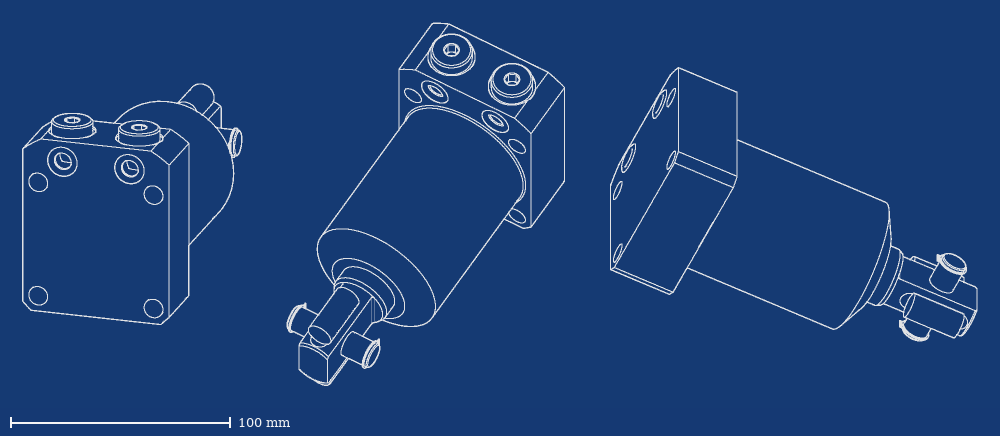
import cadquery as cq
import math

TOTAL_LENGTH = 166
SIDES = (-1, 1)

BLOCK_WIDTH = 70.0
BLOCK_DEPTH = 29.9
BLOCK_TOP = 48.8
TOP_CORNER_RADIUS = 55.5
BOTTOM_CHAMFER = 4.0
BOLT_SPACING = 55.1
BOLT_HOLE_DIAMETER = 9.0

PORT_SPACING = 32.0
PORT_HEIGHT = 38.8
PORT_DIAMETER = 8.0
RING_OUTER_DIAMETER = 14.1
RING_THICKNESS = 3.0
RING_PROTRUSION = 0.8
RING_RECESS_DEPTH = RING_THICKNESS - RING_PROTRUSION

PLUG_TOP = 54.0
PLUG_BOTTOM = 35.9
PLUG_HEAD_DIAMETER = 19.0
PLUG_CHAMFER = 0.8
PLUG_SHANK_DIAMETER = 14.3
SOCKET_ACROSS_FLATS = 6.0
SOCKET_DEPTH = 6.0
SOCKET_TIP_DEPTH = 1.7
SOCKET_MOUTH_DIAMETER = 7.1
SOCKET_MOUTH_DEPTH = 0.3
COUNTERBORE_DIAMETER = 21.5
COUNTERBORE_DEPTH = 1.0

BARREL_RADIUS = 31.4
BARREL_FOOT = 0.8
BARREL_SHOULDER = 108.9
BARREL_END = 115.9
BARREL_END_RADIUS = 19.3

NECK_RADIUS = 14.0
NECK_END = 125.0
NECK_CHAMFER_LENGTH = 2.0
ROD_RADIUS = 13.0
ROD_END = TOTAL_LENGTH - RING_PROTRUSION
ROD_END_CHAMFER = 1.0
BLADE_WIDTH = 15.1
BLADE_FILLET = 1.0

PIN_Y = 147.0
PIN_RADIUS = 6.0
PIN_LENGTH = 42.8
PIN_CHAMFER = 0.5
CLIP_SPACING = 39.0
CLIP_THICKNESS = 0.5
CLIP_RADIUS = 6.8
EAR_REACH = 8.0
EAR_SPAN = 5.0
EAR_GAP = 0.5
EAR_HOLE_DIAMETER = 0.8
EAR_HOLE_REACH = 7.1
EAR_HOLE_SPACING = 2.7

ROLLER_Y = 146.9
ROLLER_Z = 16.1
ROLLER_RADIUS = 6.0
ROLLER_LENGTH = 25.0
GROOVE_RADIUS = 5.6
GROOVE_LENGTH = 35.4


def cylinder_along_y(radius, start, length, x, z):
    return cq.Workplane("XZ", origin=(x, start, z)).circle(radius).extrude(-length)


def turned(profile):
    """Solid turned about the Y axis from (radius, y) points that start and end on the axis."""
    return cq.Workplane("XY").polyline(profile).close().revolve(360, (0, 0, 0), (0, 1, 0))


def make_block():
    half_width = BLOCK_WIDTH / 2
    bottom = -half_width
    side_top = math.sqrt(TOP_CORNER_RADIUS**2 - half_width**2)
    half_flat = math.sqrt(TOP_CORNER_RADIUS**2 - BLOCK_TOP**2)
    outline = (
        cq.Workplane("XZ")
        .moveTo(-half_width, bottom + BOTTOM_CHAMFER)
        .lineTo(-half_width, side_top)
        .radiusArc((-half_flat, BLOCK_TOP), TOP_CORNER_RADIUS)
        .lineTo(half_flat, BLOCK_TOP)
        .radiusArc((half_width, side_top), TOP_CORNER_RADIUS)
        .lineTo(half_width, bottom + BOTTOM_CHAMFER)
        .lineTo(half_width - BOTTOM_CHAMFER, bottom)
        .lineTo(-half_width + BOTTOM_CHAMFER, bottom)
        .close()
    )
    block = outline.extrude(-BLOCK_DEPTH)
    bolt_holes = (
        cq.Workplane("XZ")
        .rect(BOLT_SPACING, BOLT_SPACING, forConstruction=True)
        .vertices()
        .circle(BOLT_HOLE_DIAMETER / 2)
        .extrude(-BLOCK_DEPTH)
    )
    return block.cut(bolt_holes)


def make_port(x):
    """Space for one oil port, its two ring recesses, and the plug with its counterbore."""
    port = cylinder_along_y(PORT_DIAMETER / 2, 0, BLOCK_DEPTH, x, PORT_HEIGHT)
    for start in (0, BLOCK_DEPTH - RING_RECESS_DEPTH):
        recess = cylinder_along_y(RING_OUTER_DIAMETER / 2, start, RING_RECESS_DEPTH, x, PORT_HEIGHT)
        port = port.union(recess)
    plug_hole = (
        cq.Workplane("XY", origin=(x, BLOCK_DEPTH / 2, PLUG_BOTTOM))
        .circle(PLUG_SHANK_DIAMETER / 2)
        .extrude(BLOCK_TOP - PLUG_BOTTOM)
    )
    counterbore = (
        cq.Workplane("XY", origin=(x, BLOCK_DEPTH / 2, BLOCK_TOP))
        .circle(COUNTERBORE_DIAMETER / 2)
        .extrude(-COUNTERBORE_DEPTH)
    )
    return port.union(plug_hole).union(counterbore)


def make_barrel():
    return turned([
        (0, BLOCK_DEPTH),
        (BARREL_RADIUS + BARREL_FOOT, BLOCK_DEPTH),
        (BARREL_RADIUS, BLOCK_DEPTH + BARREL_FOOT),
        (BARREL_RADIUS, BARREL_SHOULDER),
        (BARREL_END_RADIUS, BARREL_END),
        (0, BARREL_END),
    ])


def make_flat_cutter():
    """Material beside the +X face of the blade, with a rounded corner at the neck."""
    inner = BLADE_WIDTH / 2
    return (
        cq.Workplane("XY")
        .moveTo(inner, ROD_END)
        .lineTo(inner, NECK_END + BLADE_FILLET)
        .radiusArc((inner + BLADE_FILLET, NECK_END), -BLADE_FILLET)
        .lineTo(NECK_RADIUS, NECK_END)
        .lineTo(NECK_RADIUS, ROD_END)
        .close()
        .extrude(NECK_RADIUS, both=True)
    )


def make_groove(z):
    straight = GROOVE_LENGTH - 2 * GROOVE_RADIUS
    start = ROLLER_Y - straight / 2
    groove = cylinder_along_y(GROOVE_RADIUS, start, straight, 0, z)
    for y in (start, start + straight):
        groove = groove.union(cq.Workplane("XY", origin=(0, y, z)).sphere(GROOVE_RADIUS))
    return groove


def make_rod():
    rod = turned([
        (0, BARREL_END),
        (NECK_RADIUS, BARREL_END),
        (NECK_RADIUS, NECK_END - NECK_CHAMFER_LENGTH),
        (ROD_RADIUS, NECK_END),
        (ROD_RADIUS, ROD_END - ROD_END_CHAMFER),
        (ROD_RADIUS - ROD_END_CHAMFER, ROD_END),
        (0, ROD_END),
    ])
    flat_cutter = make_flat_cutter()
    rod = rod.cut(flat_cutter).cut(flat_cutter.mirror("YZ"))
    for side in SIDES:
        rod = rod.cut(make_groove(side * ROLLER_Z))
    return rod


def make_roller(z):
    return cylinder_along_y(ROLLER_RADIUS, ROLLER_Y - ROLLER_LENGTH / 2, ROLLER_LENGTH, 0, z)


def make_pin():
    pin = cq.Workplane("YZ", origin=(-PIN_LENGTH / 2, PIN_Y, 0)).circle(PIN_RADIUS).extrude(PIN_LENGTH)
    return pin.edges().chamfer(PIN_CHAMFER)


def make_clip(x):
    """Retaining ring with two pierced ears on its -Y side; the pin fills its middle."""
    plane = cq.Workplane("YZ", origin=(x - CLIP_THICKNESS / 2, PIN_Y, 0))
    ears = plane.center(-EAR_REACH / 2, 0).rect(EAR_REACH, EAR_SPAN).extrude(CLIP_THICKNESS)
    gap_length = EAR_REACH - PIN_RADIUS
    gap = plane.center(-EAR_REACH + gap_length / 2, 0).rect(gap_length, EAR_GAP).extrude(CLIP_THICKNESS)
    ear_holes = (
        plane.pushPoints([(-EAR_HOLE_REACH, side * EAR_HOLE_SPACING / 2) for side in SIDES])
        .circle(EAR_HOLE_DIAMETER / 2)
        .extrude(CLIP_THICKNESS)
    )
    return plane.circle(CLIP_RADIUS).extrude(CLIP_THICKNESS).union(ears).cut(gap).cut(ear_holes)


def make_cylinder():
    """Block, barrel, rod, cross pin, retaining rings and rollers as one solid."""
    cylinder = make_block().union(make_barrel())
    for side in SIDES:
        cylinder = cylinder.cut(make_port(side * PORT_SPACING / 2))
    cylinder = cylinder.union(make_rod()).union(make_pin())
    for side in SIDES:
        cylinder = cylinder.union(make_clip(side * CLIP_SPACING / 2))
        cylinder = cylinder.union(make_roller(side * ROLLER_Z))
    return cylinder


def make_socket(x):
    """Hexagonal recess with corners along Y, a beveled round mouth and a conical tip."""
    corner_diameter = SOCKET_ACROSS_FLATS / math.cos(math.pi / 6)
    axis_y = BLOCK_DEPTH / 2
    floor = PLUG_TOP - SOCKET_DEPTH
    flat_radius = SOCKET_ACROSS_FLATS / 2
    down = cq.Vector(0, 0, -1)
    hexagon = (
        cq.Workplane("XY", origin=(x, axis_y, floor))
        .transformed(rotate=(0, 0, 90))
        .polygon(6, corner_diameter)
        .extrude(SOCKET_DEPTH)
    )
    mouth = cq.Solid.makeCone(
        SOCKET_MOUTH_DIAMETER / 2, flat_radius, SOCKET_MOUTH_DEPTH, cq.Vector(x, axis_y, PLUG_TOP), down
    )
    tip = cq.Solid.makeCone(flat_radius, 0, SOCKET_TIP_DEPTH, cq.Vector(x, axis_y, floor), down)
    return hexagon.union(cq.Workplane(mouth)).union(cq.Workplane(tip))


def make_plug(x):
    seat = BLOCK_TOP - COUNTERBORE_DEPTH
    head = (
        cq.Workplane("XY", origin=(x, BLOCK_DEPTH / 2, seat))
        .circle(PLUG_HEAD_DIAMETER / 2)
        .extrude(PLUG_TOP - seat)
        .faces(">Z")
        .chamfer(PLUG_CHAMFER)
    )
    shank = (
        cq.Workplane("XY", origin=(x, BLOCK_DEPTH / 2, PLUG_BOTTOM))
        .circle(PLUG_SHANK_DIAMETER / 2)
        .extrude(seat - PLUG_BOTTOM)
    )
    return head.union(shank).cut(make_socket(x))


def make_seal_ring(x, y):
    tube_radius = RING_THICKNESS / 2
    ring_radius = RING_OUTER_DIAMETER / 2 - tube_radius
    center = cq.Vector(x, y, PORT_HEIGHT)
    return cq.Solid.makeTorus(ring_radius, tube_radius, center, cq.Vector(0, 1, 0))


cylinder = make_cylinder()

plugs = []
seal_rings = []
ring_inset = RING_THICKNESS / 2 - RING_PROTRUSION
for side in SIDES:
    port_x = side * PORT_SPACING / 2
    plugs.append(make_plug(port_x).val())
    for ring_y in (ring_inset, BLOCK_DEPTH - ring_inset):
        seal_rings.append(make_seal_ring(port_x, ring_y))

result = cq.Compound.makeCompound([cylinder.val(), *plugs, *seal_rings])